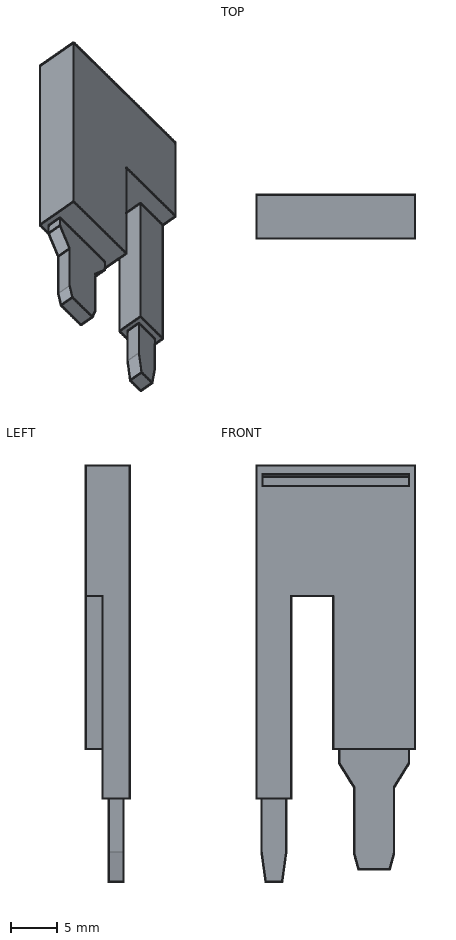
import cadquery as cq

width = 17.2
depth = 4.8
height = 45.1

head_height = 14.15
long_leg_width = 3.8
long_leg_depth = 2.98
long_leg_bottom = 9.0
short_leg_width = 8.9
short_leg_bottom = 14.4

pin_front = 0.68
pin_thickness = 1.62
narrow_pin_width = 2.7
narrow_pin_tip_width = 1.8
narrow_pin_taper = 3.25
wide_pin_shoulder_width = 7.58
wide_pin_width = 4.35
wide_pin_tip_width = 3.4
wide_pin_tip = 1.35
wide_pin_taper = 1.7
shoulder_height = 1.55
shoulder_taper = 2.6

slot_margin = 0.68
slot_top = height - 0.95
slot_height = 1.25
slot_depth = 0.95
slot_ceiling_drop = 0.3


def block(left, bottom, size_x, size_y, size_z):
    """Box starting at the front face."""
    return cq.Workplane("XY").box(size_x, size_y, size_z, centered=False).translate((left, 0, bottom))


def pin(center_x, half_profile):
    """Flat pin, symmetric about center_x, from (half width, Z) points listed top to bottom."""
    right_side = [(center_x + half, z) for half, z in half_profile]
    left_side = [(center_x - half, z) for half, z in reversed(half_profile)]
    sheet = cq.Workplane("XZ").polyline(right_side + left_side).close().extrude(-pin_thickness)
    return sheet.translate((0, pin_front, 0))


def housing():
    head_bottom = height - head_height
    head = block(0, head_bottom, width, depth, head_height)
    long_leg = block(0, long_leg_bottom, long_leg_width, long_leg_depth, head_bottom - long_leg_bottom)
    short_leg = block(
        width - short_leg_width, short_leg_bottom, short_leg_width, depth, head_bottom - short_leg_bottom
    )
    return head.union(long_leg).union(short_leg)


def marker_slot():
    """Slot with a level floor and a ceiling that slopes down toward the back wall."""
    slot_floor = slot_top - slot_height
    section = [
        (0, slot_floor),
        (slot_depth, slot_floor),
        (slot_depth, slot_top - slot_ceiling_drop),
        (0, slot_top),
    ]
    slot = cq.Workplane("YZ").polyline(section).close().extrude(width - 2 * slot_margin)
    return slot.translate((slot_margin, 0, 0))


narrow_pin = pin(
    long_leg_width / 2,
    [
        (narrow_pin_width / 2, long_leg_bottom),
        (narrow_pin_width / 2, narrow_pin_taper),
        (narrow_pin_tip_width / 2, 0),
    ],
)

shoulder_bottom = short_leg_bottom - shoulder_height
wide_pin = pin(
    width - short_leg_width / 2,
    [
        (wide_pin_shoulder_width / 2, short_leg_bottom),
        (wide_pin_shoulder_width / 2, shoulder_bottom),
        (wide_pin_width / 2, shoulder_bottom - shoulder_taper),
        (wide_pin_width / 2, wide_pin_tip + wide_pin_taper),
        (wide_pin_tip_width / 2, wide_pin_tip),
    ],
)

result = housing().cut(marker_slot()).union(narrow_pin).union(wide_pin)